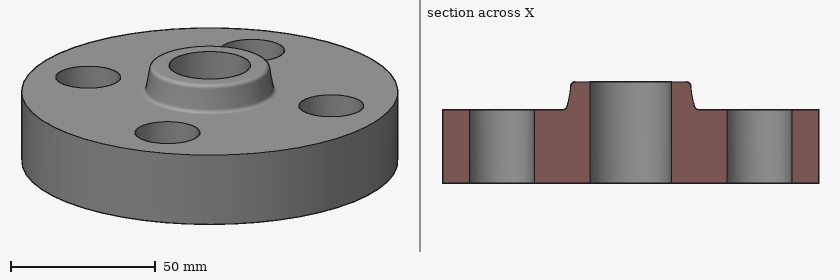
import cadquery as cq

flange_diameter = 130.0
flange_thickness = 25.5
total_height = 35.1

hub_base_diameter = 44.5
hub_top_diameter = 41.1
hub_base_fillet = 1.5
hub_rim_fillet = 1.5
bore_diameter = 28.1

bolt_hole_count = 4
bolt_hole_diameter = 22.4
bolt_circle_diameter = 88.9


def make_body():
    """Disc and hub, revolved from one half profile about Z."""
    return (
        cq.Workplane("XZ")
        .polyline([
            (0, 0),
            (flange_diameter / 2, 0),
            (flange_diameter / 2, flange_thickness),
            (hub_base_diameter / 2, flange_thickness),
            (hub_top_diameter / 2, total_height),
            (0, total_height),
        ])
        .close()
        .revolve(360, (0, 0, 0), (0, 1, 0))
    )


def round_hub(body):
    """Blend the hub into the disc and round its top rim."""
    hub_root = cq.selectors.RadiusNthSelector(1)
    body = body.edges(hub_root).fillet(hub_base_fillet)
    return body.faces(">Z").edges().fillet(hub_rim_fillet)


def cut_holes(body):
    """Through bore and the ring of bolt holes, on the X and Y axes."""
    body = body.faces(">Z").workplane().hole(bore_diameter)
    return (
        body.faces("<Z").workplane()
        .polarArray(bolt_circle_diameter / 2, 0, 360, bolt_hole_count)
        .hole(bolt_hole_diameter)
    )


result = cut_holes(round_hub(make_body()))